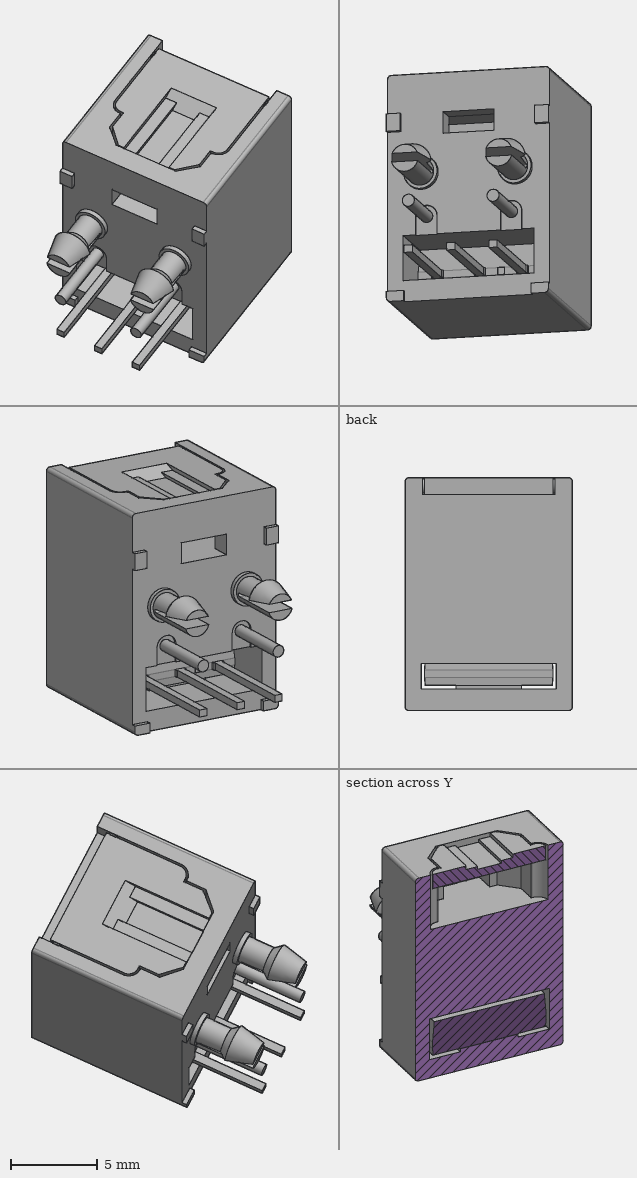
import cadquery as cq
import math


WIDTH = 9.7
DEPTH = 9.7
HEIGHT = 13.5
EDGE_RADIUS = 0.24
PIN_LENGTH = 4.15
STANDOFF = 0.29

UPPER_PAD_WIDTH = 0.82
UPPER_PAD_BOTTOM = 10.12
UPPER_PAD_HEIGHT = 1.04
LOWER_PAD_WIDTH = 1.02
LOWER_PAD_HEIGHT = 0.61

OPENING_HALF_WIDTH = 3.84
OPENING_NECK_HALF_WIDTH = 3.05
OPENING_FRONT_HALF_WIDTH = 2.01
OPENING_FRONT = 1.3
OPENING_CHAMFER_TOP = 2.31
OPENING_SHOULDER = 3.56
OPENING_REAR = 9.05
SHOULDER_RADIUS = 0.72

DOOR_GAP = 0.12
DOOR_FRONT_GAP = 0.05
DOOR_THICKNESS = 0.97
DOOR_BOTTOM = HEIGHT - DOOR_THICKNESS
HINGE_RADIUS = 0.4
HINGE_BITE = 0.28
HINGE_Y = OPENING_REAR - HINGE_RADIUS
HINGE_Z = HEIGHT - DOOR_THICKNESS / 2

GROOVE_WIDTH = 3.03
GROOVE_REAR = 6.76
GROOVE_DEPTH = 0.42
GROOVE_RIB_WIDTH = 0.75
GROOVE_RIB_DROP = 0.24
GROOVE_SLOPE_RUN = 1.15

SLOT_BOTTOM = 9.89
SLOT_TOP = 11.16

WINDOW_WIDTH = 7.81
WINDOW_BOTTOM = 1.26
WINDOW_TOP = 3.93
REAR_OPENING_TOP = 2.73
CHAMBER_DEPTH = 5.82
SUPPORT_WIDTH = 3.81

MODULE_WIDTH = 7.45
MODULE_FRONT = 2.77
MODULE_DEPTH = 2.77
MODULE_BOTTOM = 1.47
MODULE_TOP = 3.7
MODULE_DRAFT = 5.0
SUPPORT_FRONT = MODULE_FRONT + 0.28
SUPPORT_REAR = MODULE_FRONT + MODULE_DEPTH
LEAD_PITCH = 2.53
LEAD_WIDTH = 0.5
LEAD_THICKNESS = 0.43
LEAD_BOTTOM = 1.94
LEAD_TOP = LEAD_BOTTOM + LEAD_THICKNESS
OUTER_ROOT_WIDTH = 0.68
CENTRE_ROOT_WIDTH = 0.62
ROOT_LENGTH = 0.21
STUB_X = 1.25
STUB_WIDTH = 0.4
STUB_LENGTH = 0.07

ROUND_PIN_RADIUS = 0.36
ROUND_PIN_Z = 5.03
RELIEF_RADIUS = 0.64
RELIEF_DEPTH = 0.14

PEG_X = 2.81
PEG_Z = 7.62
PEG_LENGTH = 3.93
COLLAR_RADIUS = 1.0
SHANK_RADIUS = 0.8
BARB_RADIUS = 1.19
BARB_START = 1.87
BARB_PEAK = 2.34
SPLIT_START = 0.48
SPLIT_ROOT_HEIGHT = 0.21
SPLIT_TIP_HEIGHT = 0.51
SPLIT_BOTTOM = PEG_Z - 0.21


def box(x_range, y_range, z_range):
    """Box between two corners given as ranges along each axis."""
    sizes = [high - low for low, high in (x_range, y_range, z_range)]
    corner = (x_range[0], y_range[0], z_range[0])
    return cq.Workplane("XY").box(*sizes, centered=False).translate(corner)


def centred_box(x, width, y_range, z_range):
    return box((x - width / 2, x + width / 2), y_range, z_range)


def rod(x, z, radius, y_front, y_back):
    """Cylinder along Y."""
    return cq.Workplane("XZ", origin=(x, y_back, z)).circle(radius).extrude(y_back - y_front)


def plug_shape(side_gap, front_gap, bottom, top):
    """Plug outline, inset by the given gaps and extruded between two heights."""
    half = OPENING_HALF_WIDTH - side_gap
    neck = OPENING_NECK_HALF_WIDTH - side_gap
    radius = SHOULDER_RADIUS - side_gap
    shoulder = OPENING_SHOULDER + side_gap
    tip = OPENING_FRONT_HALF_WIDTH - side_gap
    chamfer_top = OPENING_CHAMFER_TOP + side_gap
    front = OPENING_FRONT + front_gap
    mid = radius * math.sqrt(0.5)
    arc_x = half - radius
    arc_y = shoulder + radius
    return (
        cq.Workplane("XY", origin=(0, 0, bottom))
        .moveTo(0, front)
        .lineTo(tip, front)
        .lineTo(neck, chamfer_top)
        .lineTo(neck, shoulder)
        .lineTo(arc_x, shoulder)
        .threePointArc((arc_x + mid, arc_y - mid), (half, arc_y))
        .lineTo(half, OPENING_REAR)
        .lineTo(0, OPENING_REAR)
        .close()
        .extrude(top - bottom)
        .mirror("YZ", union=True)
    )


def hinge_pins():
    """Hinge axle along X; its ends enter the side rails."""
    half_length = OPENING_HALF_WIDTH + HINGE_BITE
    return (
        cq.Workplane("YZ", origin=(-half_length, 0, 0))
        .center(HINGE_Y, HINGE_Z)
        .circle(HINGE_RADIUS)
        .extrude(2 * half_length)
    )


def block_with_pads():
    """Housing block and its four pads, all sharing the rounded long edges."""
    envelope = (
        centred_box(0, WIDTH, (-STANDOFF, DEPTH), (0, HEIGHT))
        .edges("|Y")
        .fillet(EDGE_RADIUS)
    )
    blank = centred_box(0, WIDTH, (0, DEPTH), (0, HEIGHT))
    pads = (
        (UPPER_PAD_WIDTH, UPPER_PAD_BOTTOM, UPPER_PAD_HEIGHT),
        (LOWER_PAD_WIDTH, 0, LOWER_PAD_HEIGHT),
    )
    for side in (-1, 1):
        for width, bottom, height in pads:
            x = side * (WIDTH - width) / 2
            blank = blank.union(centred_box(x, width, (-STANDOFF, 0), (bottom, bottom + height)))
    return blank.intersect(envelope)


def chamber():
    """Module chamber: full height at the front, a lower passage through the rear."""
    front = centred_box(0, WINDOW_WIDTH, (0, CHAMBER_DEPTH), (WINDOW_BOTTOM, WINDOW_TOP))
    rear = centred_box(0, WINDOW_WIDTH, (0, DEPTH), (WINDOW_BOTTOM, REAR_OPENING_TOP))
    return front.union(rear)


def pin_relief(x):
    """Round-topped shallow relief around a fixing pin, open to the window below."""
    head = rod(x, ROUND_PIN_Z, RELIEF_RADIUS, 0, RELIEF_DEPTH)
    stem = centred_box(x, 2 * RELIEF_RADIUS, (0, RELIEF_DEPTH), (WINDOW_TOP, ROUND_PIN_Z))
    return head.union(stem)


def snap_peg(x):
    """Collared peg, split along its length, with a barb on the upper half only."""
    collar = rod(x, PEG_Z, COLLAR_RADIUS, -STANDOFF, 0)
    shank = rod(x, PEG_Z, SHANK_RADIUS, -PEG_LENGTH, 0)
    barb = (
        cq.Workplane("XY", origin=(x, 0, PEG_Z))
        .polyline([
            (0, -BARB_START),
            (SHANK_RADIUS, -BARB_START),
            (BARB_RADIUS, -BARB_PEAK),
            (SHANK_RADIUS, -PEG_LENGTH),
            (0, -PEG_LENGTH),
        ])
        .close()
        .revolve(360, (0, 0, 0), (0, 1, 0))
    )
    upper_half = centred_box(
        x, 2 * BARB_RADIUS, (-PEG_LENGTH, 0), (SPLIT_BOTTOM, PEG_Z + BARB_RADIUS)
    )
    root_radius = SPLIT_ROOT_HEIGHT / 2
    root_y = -SPLIT_START - root_radius
    split = (
        cq.Workplane("YZ", origin=(x - BARB_RADIUS, 0, 0))
        .moveTo(-PEG_LENGTH, SPLIT_BOTTOM)
        .lineTo(root_y, SPLIT_BOTTOM)
        .threePointArc(
            (-SPLIT_START, SPLIT_BOTTOM + root_radius),
            (root_y, SPLIT_BOTTOM + SPLIT_ROOT_HEIGHT),
        )
        .lineTo(-PEG_LENGTH, SPLIT_BOTTOM + SPLIT_TIP_HEIGHT)
        .close()
        .extrude(2 * BARB_RADIUS)
    )
    return shank.union(barb.intersect(upper_half)).cut(split).union(collar)


def make_housing():
    body = block_with_pads()
    body = body.cut(plug_shape(0, 0, SLOT_BOTTOM, HEIGHT))
    body = body.cut(
        centred_box(0, 2 * OPENING_HALF_WIDTH, (OPENING_REAR, DEPTH), (DOOR_BOTTOM, HEIGHT))
    )
    body = body.cut(hinge_pins())
    body = body.cut(centred_box(0, GROOVE_WIDTH, (0, OPENING_SHOULDER), (SLOT_BOTTOM, SLOT_TOP)))
    body = body.cut(chamber())
    body = body.union(
        centred_box(0, SUPPORT_WIDTH, (SUPPORT_FRONT, SUPPORT_REAR), (0, MODULE_BOTTOM))
    )
    for side in (-1, 1):
        body = body.cut(pin_relief(side * LEAD_PITCH))
        body = body.union(snap_peg(side * PEG_X))
    return body


def make_door():
    """Hinged door with a ribbed groove that ends in a slope at the rear."""
    door = plug_shape(DOOR_GAP, DOOR_FRONT_GAP, DOOR_BOTTOM, HEIGHT).union(hinge_pins())
    groove = (
        cq.Workplane("YZ", origin=(-GROOVE_WIDTH / 2, 0, 0))
        .polyline([
            (0, HEIGHT),
            (GROOVE_REAR, HEIGHT),
            (GROOVE_REAR - GROOVE_SLOPE_RUN, HEIGHT - GROOVE_DEPTH),
            (0, HEIGHT - GROOVE_DEPTH),
        ])
        .close()
        .extrude(GROOVE_WIDTH)
    )
    for side in (-1, 1):
        rib_x = side * (GROOVE_WIDTH - GROOVE_RIB_WIDTH) / 2
        rib_heights = (DOOR_BOTTOM, HEIGHT - GROOVE_RIB_DROP)
        groove = groove.cut(centred_box(rib_x, GROOVE_RIB_WIDTH, (0, GROOVE_REAR), rib_heights))
    return door.cut(groove)


def lead(x, root_width):
    """Flat lead with a wider root where it leaves the module."""
    heights = (LEAD_BOTTOM, LEAD_TOP)
    blade = centred_box(x, LEAD_WIDTH, (-PIN_LENGTH, MODULE_FRONT), heights)
    root = centred_box(x, root_width, (MODULE_FRONT - ROOT_LENGTH, MODULE_FRONT), heights)
    return blade.union(root)


def make_module():
    """Moulded module, drafted above and below the lead plane, with three leads and a tie stub."""
    centre_y = MODULE_FRONT + MODULE_DEPTH / 2

    def drafted(z, height):
        plane = cq.Workplane("XY", origin=(0, centre_y, z))
        return plane.rect(MODULE_WIDTH, MODULE_DEPTH).extrude(height, taper=MODULE_DRAFT)

    module = centred_box(
        0, MODULE_WIDTH, (MODULE_FRONT, MODULE_FRONT + MODULE_DEPTH), (LEAD_BOTTOM, LEAD_TOP)
    )
    module = module.union(drafted(LEAD_TOP, MODULE_TOP - LEAD_TOP))
    module = module.union(drafted(LEAD_BOTTOM, MODULE_BOTTOM - LEAD_BOTTOM))
    for x, root_width in (
        (-LEAD_PITCH, OUTER_ROOT_WIDTH),
        (0, CENTRE_ROOT_WIDTH),
        (LEAD_PITCH, OUTER_ROOT_WIDTH),
    ):
        module = module.union(lead(x, root_width))
    stub = centred_box(
        STUB_X, STUB_WIDTH, (MODULE_FRONT - STUB_LENGTH, MODULE_FRONT), (LEAD_BOTTOM, LEAD_TOP)
    )
    return module.union(stub)


def make_round_pin(x):
    """Fixing pin standing on the floor of its relief."""
    return rod(x, ROUND_PIN_Z, ROUND_PIN_RADIUS, -PIN_LENGTH, RELIEF_DEPTH)


housing = make_housing()
door = make_door()
module = make_module()
round_pins = [make_round_pin(side * LEAD_PITCH) for side in (-1, 1)]

result = cq.Compound.makeCompound([
    housing.solids().val(),
    door.solids().val(),
    module.solids().val(),
    *[pin.solids().val() for pin in round_pins],
])